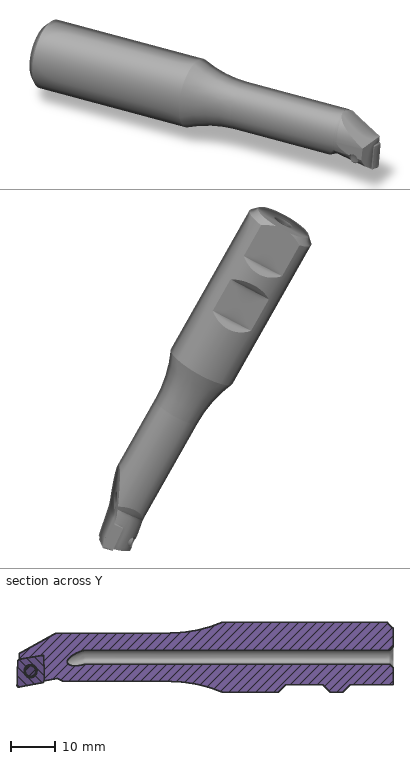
import cadquery as cq
import math


total_length = 85.0
shank_dia = 16.0
shank_length = 38.5
rear_chamfer = 1.45
neck_dia = 11.05
flare_length = 11.9
neck_end = 76.1
shank_radius = shank_dia / 2
neck_radius = neck_dia / 2

notch_floor = -6.3
notch_spans = [(-4.25, 9.7), (15.9, 24.3)]

coolant_dia = 3.0
coolant_mouth_dia = 4.6
coolant_bend = cq.Vector(69.7, 0, 0)
coolant_exit = cq.Vector(76.5, 2.9, -2.2)

insert_inscribed_dia = 6.2
insert_corner_angle = 80.0
insert_thickness = 2.4
insert_clearance = 7.0
insert_nose_radius = 0.4
insert_bore_dia = 2.8
axial_tilt = 2.0
radial_tilt = 10.0
tip_height = -6.9
insert_side = insert_inscribed_dia / math.sin(math.radians(insert_corner_angle))

screw_dia = 2.5
screw_end_dia = 2.0
screw_head_dia = 3.8
screw_length = 6.3
head_cone_depth = (screw_head_dia - insert_bore_dia) / 2

bevel_angle = 29.0
end_setback = 0.5
end_relief_angle = 6.0
end_round = 0.85
head_flare_angle = 9.5
head_flare_blend = 0.5
head_axis_start = 73.1
gullet_corner = -7.4
gullet_ramp_angle = 20.0
gullet_blend_radius = 5.1
relief_radius = 8.0
relief_centre = cq.Vector(80.75, 1.1, 2.3)
relief_tilt = 10.0
relief_run_out_angle = 35.0
relief_start = -3.6

reach = 25.5

sin_axial = math.sin(math.radians(axial_tilt))
cos_axial = math.cos(math.radians(axial_tilt))
head_axis = cq.Vector(cos_axial, -sin_axial, 0)
rake_normal = cq.Vector(sin_axial, cos_axial, 0) * math.cos(math.radians(radial_tilt))
rake_normal = rake_normal - cq.Vector(0, 0, math.sin(math.radians(radial_tilt)))
rake_up = cq.Vector(1, 0, 0).cross(rake_normal).normalized()
rake_along = rake_normal.cross(rake_up)
tip = cq.Vector(total_length, 0, tip_height)
insert_plane = cq.Plane(origin=tip, xDir=rake_along, normal=rake_normal * -1)

lower_edge_angle = math.radians(90 + insert_corner_angle)
lower_edge = (insert_side * math.cos(lower_edge_angle), insert_side * math.sin(lower_edge_angle))
insert_centre = (lower_edge[0] / 2, (lower_edge[1] + insert_side) / 2)


def insert_blank():
    """Insert without its screw hole; also the shape of its pocket."""
    corners = [(0, 0), (0, insert_side), (lower_edge[0], lower_edge[1] + insert_side), lower_edge, (0, 0)]
    rhombus = cq.Sketch().polygon(corners).vertices().fillet(insert_nose_radius)
    return cq.Workplane(insert_plane).placeSketch(rhombus).extrude(insert_thickness, taper=insert_clearance)


def screw_blank():
    """Countersunk screw, revolved about its axis through the insert's centre."""
    end_chamfer = (screw_dia - screw_end_dia) / 2
    half_profile = [
        (0, 0),
        (screw_head_dia / 2, 0),
        (insert_bore_dia / 2, head_cone_depth),
        (screw_dia / 2, head_cone_depth),
        (screw_dia / 2, screw_length - end_chamfer),
        (screw_end_dia / 2, screw_length),
        (0, screw_length),
    ]
    screw_plane = cq.Plane(
        origin=insert_plane.toWorldCoords(insert_centre), xDir=rake_along, normal=rake_up * -1
    )
    return cq.Workplane(screw_plane).polyline(half_profile).close().revolve(360, (0, 0, 0), (0, 1, 0))


def screw_axis_hole(diameter, depth):
    """Cutter along the screw axis, starting at the rake face."""
    return cq.Workplane(insert_plane).center(*insert_centre).circle(diameter / 2).extrude(depth)


def make_shank():
    """Chamfered shank and the neck, joined by a hollow flare tangent to the neck."""
    flare_end = shank_length + flare_length
    flare_drop = shank_radius - neck_radius
    flare_radius = (flare_length**2 + flare_drop**2) / (2 * flare_drop)
    half_angle = math.asin(flare_length / flare_radius) / 2
    flare_middle = (
        flare_end - flare_radius * math.sin(half_angle),
        neck_radius + flare_radius * (1 - math.cos(half_angle)),
    )
    return (
        cq.Workplane("XY")
        .moveTo(0, 0)
        .lineTo(0, shank_radius - rear_chamfer)
        .lineTo(rear_chamfer, shank_radius)
        .lineTo(shank_length, shank_radius)
        .threePointArc(flare_middle, (flare_end, neck_radius))
        .lineTo(neck_end, neck_radius)
        .lineTo(neck_end, 0)
        .close()
        .revolve(360, (0, 0, 0), (1, 0, 0))
    )


def notch(start, end):
    """Cutter for one flat under the shank, with 45 degree end walls."""
    depth = shank_radius + notch_floor
    return (
        cq.Workplane("XZ")
        .polyline([(start, notch_floor), (end, notch_floor), (end + depth, -shank_radius),
                   (start - depth, -shank_radius)])
        .close()
        .extrude(shank_radius, both=True)
    )


def coolant_channel():
    """Axial bore from the rear face that bends towards the gullet."""
    mouth_depth = (coolant_mouth_dia - coolant_dia) / 2
    rear_centre = cq.Vector(0, 0, 0)
    bar_axis = cq.Vector(1, 0, 0)
    mouth = cq.Solid.makeCone(coolant_mouth_dia / 2, coolant_dia / 2, mouth_depth, rear_centre, bar_axis)
    bore = cq.Solid.makeCylinder(coolant_dia / 2, coolant_bend.x, rear_centre, bar_axis)
    elbow = cq.Solid.makeSphere(coolant_dia / 2, coolant_bend, cq.Vector(0, 0, 1), -90, 90, 360)
    branch_line = coolant_exit - coolant_bend
    branch = cq.Solid.makeCylinder(coolant_dia / 2, branch_line.Length, coolant_bend, branch_line)
    channel = cq.Workplane(mouth)
    for piece in (bore, elbow, branch):
        channel = channel.union(cq.Workplane(piece))
    return channel


def head_section():
    """Tilted round bar with a flat back parallel to the insert seat."""
    section_plane = cq.Plane(
        origin=(head_axis_start, 0, 0), xDir=(sin_axial, cos_axial, 0), normal=head_axis
    )
    sin_radial = math.sin(math.radians(radial_tilt))
    cos_radial = math.cos(math.radians(radial_tilt))
    tangent_point = (-neck_radius * cos_radial, neck_radius * sin_radial)
    back_length = 1.5 * neck_radius
    back_end = (
        tangent_point[0] - back_length * sin_radial,
        tangent_point[1] - back_length * cos_radial,
    )
    length = total_length - head_axis_start
    bar = cq.Workplane(section_plane).circle(neck_radius).extrude(length)
    back = (
        cq.Workplane(section_plane)
        .polyline([(0, 0), tangent_point, back_end, (neck_radius / 2, back_end[1]), (neck_radius / 2, 0)])
        .close()
        .extrude(length)
    )
    return bar.union(back)


def head_flare():
    """Cone, blended into the neck, that limits how quickly the head swells."""
    flare = math.radians(head_flare_angle)
    blend_end = neck_end + head_flare_blend
    blend_rise = head_flare_blend * math.tan(flare / 2)
    blend_radius = head_flare_blend / math.sin(flare)
    blend_middle = (
        neck_end + blend_radius * math.sin(flare / 2),
        neck_radius + blend_radius * (1 - math.cos(flare / 2)),
    )
    cone_length = total_length - blend_end
    return (
        cq.Workplane("XY")
        .moveTo(neck_end, 0)
        .lineTo(neck_end, neck_radius)
        .threePointArc(blend_middle, (blend_end, neck_radius + blend_rise))
        .lineTo(total_length, neck_radius + blend_rise + cone_length * math.tan(flare))
        .lineTo(total_length, 0)
        .close()
        .revolve(360, (0, 0, 0), (1, 0, 0))
    )


def head_front():
    """Block that gives the head its top bevel and its rounded, relieved end face."""
    end_relief = math.tan(math.radians(end_relief_angle))
    end_x = total_length - end_setback
    bevel_slope = math.tan(math.radians(bevel_angle))
    block = (
        cq.Workplane("XZ")
        .polyline([(neck_end, neck_radius), (neck_end + reach, neck_radius - reach * bevel_slope),
                   (neck_end + reach, -reach), (neck_end, -reach)])
        .close()
        .extrude(neck_end, both=True)
    )
    behind_end_face = (
        cq.Workplane("XY")
        .polyline([(0, -reach), (end_x - reach * end_relief, -reach),
                   (end_x + reach * end_relief, reach), (0, reach)])
        .close()
        .extrude(reach, both=True)
    )
    return block.intersect(behind_end_face).edges(">X").edges(">Z").fillet(end_round)


def underside_relief():
    """Cutter that rounds the head's underside about a tilted axis, with a conical run-out."""
    tilt = math.radians(relief_tilt)
    axis = head_axis * math.cos(tilt) - cq.Vector(0, 0, math.sin(tilt))
    plane = cq.Plane(origin=relief_centre, xDir=axis, normal=cq.Vector(axis.y, -axis.x, 0))
    outer_radius = 2 * relief_radius
    run_out = (outer_radius - relief_radius) / math.tan(math.radians(relief_run_out_angle))
    return (
        cq.Workplane(plane)
        .polyline([(relief_start, -relief_radius), (reach, -relief_radius), (reach, -outer_radius),
                   (relief_start - run_out, -outer_radius)])
        .close()
        .revolve(360, (0, 0, 0), (1, 0, 0))
    )


def gullet():
    """Cutter that opens the rake side: a ramp blended into a floor level with the insert."""
    plane = cq.Plane(origin=tip, xDir=rake_along, normal=rake_up)
    ramp = math.radians(gullet_ramp_angle)
    blend = gullet_blend_radius * math.tan(ramp / 2)
    ramp_top = (gullet_corner - reach * math.cos(ramp), reach * math.sin(ramp))
    return (
        cq.Workplane(plane)
        .moveTo(*ramp_top)
        .lineTo(gullet_corner - blend * math.cos(ramp), blend * math.sin(ramp))
        .tangentArcPoint((gullet_corner + blend, 0), relative=False)
        .lineTo(reach, 0)
        .lineTo(reach, ramp_top[1])
        .close()
        .extrude(reach, both=True)
    )


screw = screw_blank()
insert = insert_blank()
bar = make_shank()
for span in notch_spans:
    bar = bar.cut(notch(*span))
head = head_section().intersect(head_flare()).intersect(head_front())
bar = bar.union(head).cut(underside_relief()).cut(gullet()).cut(coolant_channel())
bar = bar.cut(insert).cut(screw_axis_hole(screw_dia, reach))
insert = insert.cut(screw_axis_hole(insert_bore_dia, insert_thickness)).cut(screw)

result = cq.Compound.makeCompound([bar.val(), insert.val(), screw.val()])